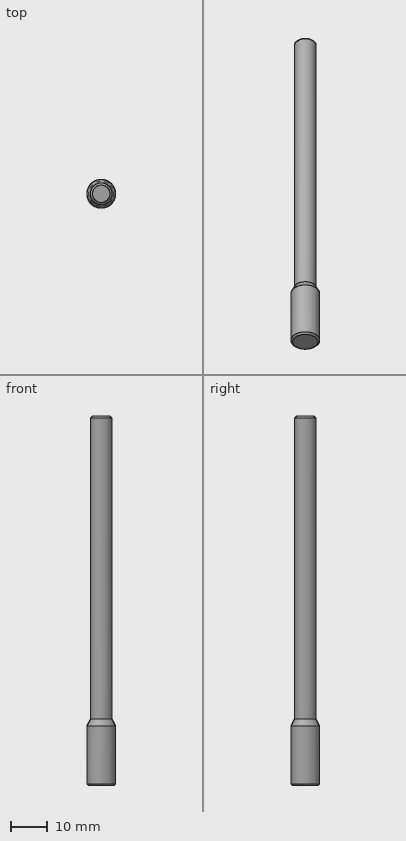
import cadquery as cq

total_length = 101.0
rod_diameter = 6.0
head_diameter = 7.9

head_length = 18.2
shoulder_height = 1.8
head_chamfer = 0.5

rod_chamfer = 0.6


def make_head():
    """Turned head with its lower rim chamfered and its shoulder tapered to the rod."""
    head_radius = head_diameter / 2
    shoulder_base = head_length - shoulder_height
    profile = (
        cq.Workplane("XZ")
        .moveTo(0, 0)
        .lineTo(head_radius - head_chamfer, 0)
        .lineTo(head_radius, head_chamfer)
        .lineTo(head_radius, shoulder_base)
        .lineTo(rod_diameter / 2, head_length)
        .lineTo(0, head_length)
        .close()
    )
    return profile.revolve(360, (0, 0, 0), (0, 1, 0))


def make_rod():
    """Straight rod from the top of the head, chamfered at its free end."""
    return (
        cq.Workplane("XY", origin=(0, 0, head_length))
        .circle(rod_diameter / 2)
        .extrude(total_length - head_length)
        .faces(">Z")
        .chamfer(rod_chamfer)
    )


head = make_head()
rod = make_rod()

result = cq.Compound.makeCompound([head.val(), rod.val()])